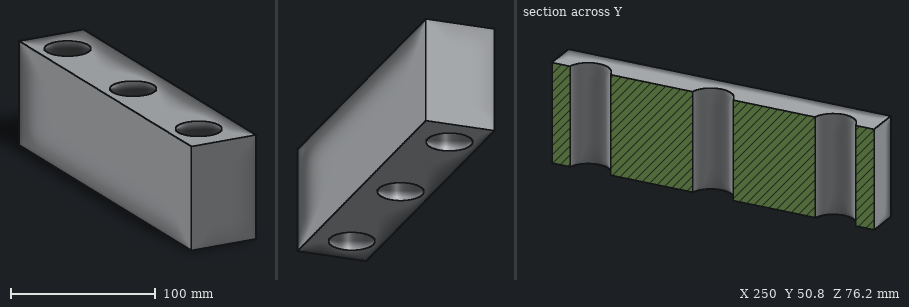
import cadquery as cq

length = 250.0
width = 50.8
height = 76.2

hole_diameter = 32.0
hole_count = 3
hole_spacing = 95.0
hole_row_from_front = 22.0


def make_block():
    """Rectangular block centred on X and Y, standing on Z = 0."""
    return cq.Workplane("XY").box(length, width, height, centered=(True, True, False))


def make_holes():
    """Vertical cylinders in a row centred on X, nearer the -Y face."""
    row_y = hole_row_from_front - width / 2
    return (
        cq.Workplane("XY")
        .center(0, row_y)
        .rarray(hole_spacing, 1, hole_count, 1)
        .circle(hole_diameter / 2)
        .extrude(height)
    )


result = make_block().cut(make_holes())